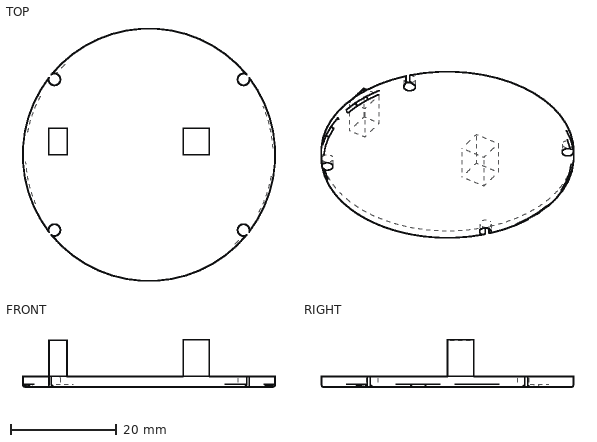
import cadquery as cq

disc_diameter = 48.0
disc_thickness = 2.0
bottom_edge_radius = 0.5

hole_diameter = 2.2
hole_offset_x = 17.95
hole_offset_y = 14.3

block_depth = 5.0
wide_block_left = 6.5
wide_block_width = 5.0
wide_block_height = 7.0
narrow_block_left = -19.0
narrow_block_width = 3.45
narrow_block_height = 6.9


def make_disc():
    """Flat disc with a rounded bottom rim."""
    disc = cq.Workplane("XY").circle(disc_diameter / 2).extrude(disc_thickness)
    return disc.faces("<Z").edges().fillet(bottom_edge_radius)


def make_holes():
    """Four through holes at the corners of a rectangle."""
    return (
        cq.Workplane("XY")
        .rect(2 * hole_offset_x, 2 * hole_offset_y, forConstruction=True)
        .vertices()
        .circle(hole_diameter / 2)
        .extrude(disc_thickness)
    )


def make_block(left, width, height):
    """Rectangular block rising from the top face of the disc."""
    return (
        cq.Workplane("XY")
        .box(width, block_depth, disc_thickness / 2 + height, centered=False)
        .translate((left, 0, disc_thickness / 2))
    )


result = (
    make_disc()
    .cut(make_holes())
    .union(make_block(wide_block_left, wide_block_width, wide_block_height))
    .union(make_block(narrow_block_left, narrow_block_width, narrow_block_height))
)